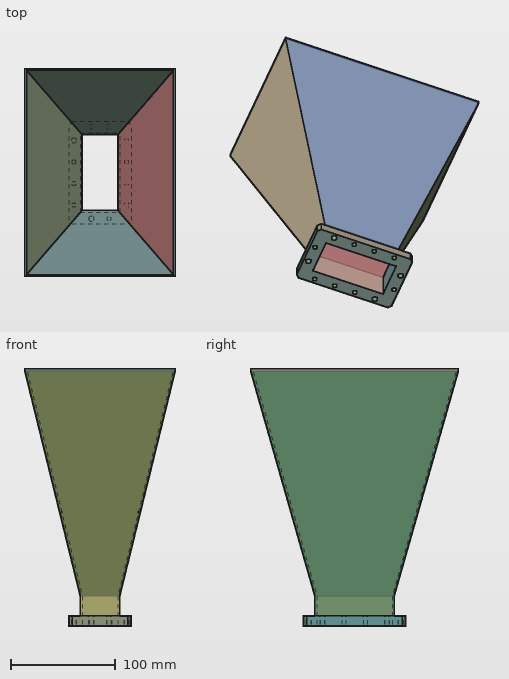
import cadquery as cq

bore_x = 34.04
bore_y = 72.14
wall = 2.0
neck_x = bore_x + 2 * wall
neck_y = bore_y + 2 * wall

mouth_x = 143.79
mouth_y = 198.66
mouth_wall = 1.7
rim_height = 2.0
mouth_inner_x = mouth_x - 2 * mouth_wall
mouth_inner_y = mouth_y - 2 * mouth_wall

total_height = 246.0
flange_thickness = 10.0
neck_height = 19.35
flare_start = flange_thickness + neck_height
rim_start = total_height - rim_height

flange_x = 59.3
flange_y = 97.5
corner_chamfer = 3.0

bolt_diameter = 4.0
locator_diameter = 5.0
side_row_x = 25.2
side_pitch = 20.6
side_count = 4
end_row_y = 44.0
end_pitch = 17.0


def box_between(size_x, size_y, z_low, z_high):
    """Upright rectangular block centred on the Z axis."""
    return cq.Workplane("XY").workplane(offset=z_low).rect(size_x, size_y).extrude(z_high - z_low)


def horn_body(throat_x, throat_y, top_x, top_y, flare_end):
    """Straight neck from the base, then a flare up to the given height, as one solid."""
    neck = box_between(throat_x, throat_y, 0, flare_start)
    flare = (
        cq.Workplane("XY")
        .workplane(offset=flare_start)
        .rect(throat_x, throat_y)
        .workplane(offset=flare_end - flare_start)
        .rect(top_x, top_y)
        .loft(ruled=True)
    )
    return neck.union(flare)


def flange_plate():
    """Rectangular mounting flange with bevelled corners."""
    plate = box_between(flange_x, flange_y, 0, flange_thickness)
    return plate.edges("|Z").chamfer(corner_chamfer)


def drills(points, diameter):
    """Cylinders through the flange at the points and at their half-turn partners."""
    partners = [(-x, -y) for x, y in points]
    return cq.Workplane("XY").pushPoints(points + partners).circle(diameter / 2).extrude(flange_thickness)


def flange_holes():
    """Through holes around the flange, alike after a half turn about Z."""
    first_side_y = (side_count - 1) / 2 * side_pitch
    side_row = [(-side_row_x, first_side_y - i * side_pitch) for i in range(side_count)]
    end_row = [(-end_pitch / 2, -end_row_y), (end_pitch / 2, -end_row_y)]

    locators = [side_row[0], end_row[0]]
    bolts = side_row[1:] + end_row[1:]
    return drills(locators, locator_diameter).union(drills(bolts, bolt_diameter))


outer_horn = horn_body(neck_x, neck_y, mouth_x, mouth_y, rim_start)
rim = box_between(mouth_x, mouth_y, rim_start, total_height)
outside = outer_horn.union(rim).union(flange_plate())

inside = horn_body(bore_x, bore_y, mouth_inner_x, mouth_inner_y, total_height)
result = outside.cut(inside).cut(flange_holes())